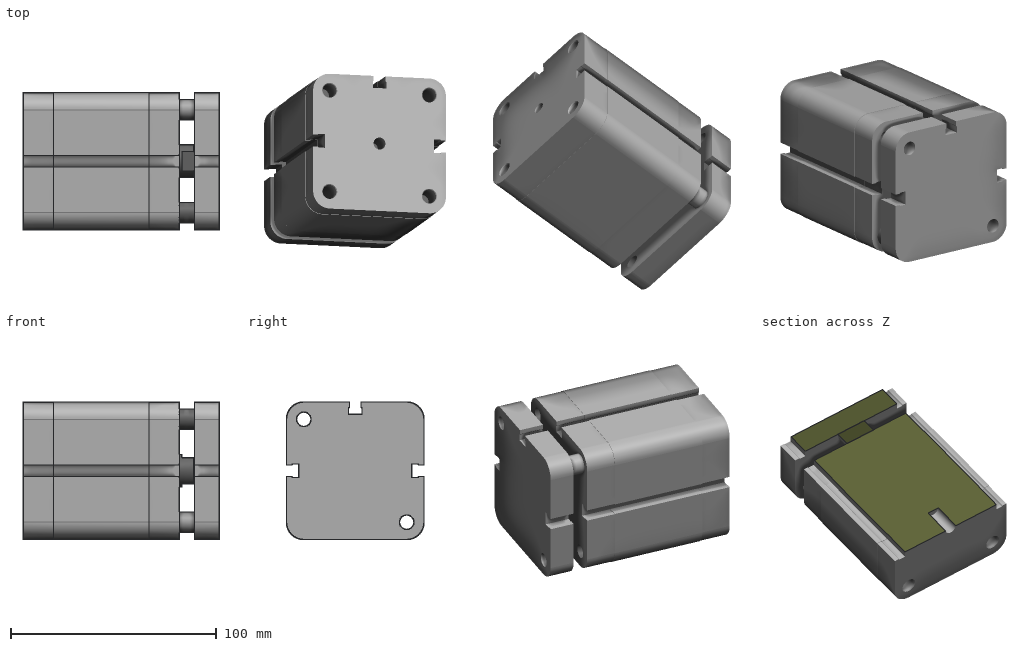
import cadquery as cq

total_length = 95.5
cap_length = 14.7
housing_length = 76.0
plate_start = 83.3
gap = plate_start - housing_length

barrel_width = 67.0
barrel_corner_radius = 8.5
cap_inset = 0.2

throat_width = 5.4
throat_depth = 2.6
groove_width = 6.4
groove_depth = 5.9
groove_angles = (0, 90, -90)

corner_offset = 25.0
corner_hole_diameter = 6.9
corner_hole_chamfer = 0.4
centre_hole_diameter = 5.9
blind_depth = cap_length

guide_rod_diameter = 10.0
piston_rod_diameter = 16.0
flat_spacing = 12.8
flat_start = 77.2
flat_fillet = 0.5
rod_end_chamfer = 0.3

guide_corners = [(corner_offset, corner_offset), (-corner_offset, -corner_offset)]
through_corners = [(-corner_offset, corner_offset), (corner_offset, -corner_offset)]


def cylinder(start, length, diameter, y=0, z=0):
    """Solid cylinder parallel to X, from x = start."""
    return cq.Workplane("YZ", origin=(start, y, z)).circle(diameter / 2).extrude(length)


def groove_cutter(start, length, inset):
    """Top-side groove: a throat that flares at 45 degrees into a wider channel, all enlarged by inset."""
    top = barrel_width / 2
    half_throat = throat_width / 2
    half_groove = groove_width / 2
    throat_end = top - throat_depth
    flare_end = throat_end - (half_groove - half_throat)
    floor = top - groove_depth
    right_side = [
        (half_throat, top),
        (half_throat, throat_end),
        (half_groove, flare_end),
        (half_groove, floor),
    ]
    left_side = [(-y, z) for y, z in reversed(right_side)]
    profile = cq.Workplane("YZ", origin=(start, 0, 0)).polyline(right_side + left_side).close()
    if inset > 0:
        profile = profile.offset2D(inset, "intersection")
    return profile.extrude(length)


def grooved_block(start, length, inset=0):
    """Square block with rounded corners and three grooves, every surface moved in by inset."""
    width = barrel_width - 2 * inset
    block = (
        cq.Workplane("YZ", origin=(start, 0, 0))
        .rect(width, width)
        .extrude(length)
        .edges("|X")
        .fillet(barrel_corner_radius - inset)
    )
    cutter = groove_cutter(start, length, inset)
    for angle in groove_angles:
        block = block.cut(cutter.rotate((0, 0, 0), (1, 0, 0), angle))
    return block


def corner_hole_cutter(depth, y, z):
    """Corner hole from the rear face of the housing, with a chamfered mouth."""
    hole_radius = corner_hole_diameter / 2
    mouth = cq.Solid.makeCone(
        hole_radius + corner_hole_chamfer,
        hole_radius,
        corner_hole_chamfer,
        pnt=cq.Vector(0, y, z),
        dir=cq.Vector(1, 0, 0),
    )
    return cylinder(0, depth, corner_hole_diameter, y, z).union(cq.Workplane(mouth))


def make_housing():
    """Cylinder housing: barrel between two slightly smaller caps."""
    barrel_length = housing_length - 2 * cap_length
    housing = (
        grooved_block(cap_length, barrel_length)
        .union(grooved_block(0, cap_length, cap_inset))
        .union(grooved_block(housing_length - cap_length, cap_length, cap_inset))
    )
    for y, z in through_corners:
        housing = housing.cut(corner_hole_cutter(housing_length, y, z))
    for y, z in guide_corners:
        housing = housing.cut(corner_hole_cutter(blind_depth, y, z))
    return housing.cut(cylinder(0, blind_depth, centre_hole_diameter))


def make_plate():
    """Front plate carried by the rods, with through holes in line with those of the housing."""
    plate_length = total_length - plate_start
    plate = grooved_block(plate_start, plate_length, cap_inset)
    for y, z in through_corners:
        plate = plate.cut(cylinder(plate_start, plate_length, corner_hole_diameter, y, z))
    return plate


def make_piston_rod():
    """Round rod with wrench flats facing up and down, each with a filleted shoulder."""
    rod = cylinder(housing_length, gap, piston_rod_diameter).faces(">X").chamfer(rod_end_chamfer)
    flat_cutter = (
        cq.Workplane("XZ", origin=(flat_start, piston_rod_diameter / 2, flat_spacing / 2))
        .rect(plate_start - flat_start, piston_rod_diameter, centered=False)
        .extrude(piston_rod_diameter)
        .edges("<X and <Z")
        .fillet(flat_fillet)
    )
    for angle in (0, 180):
        rod = rod.cut(flat_cutter.rotate((0, 0, 0), (1, 0, 0), angle))
    return rod


def make_guide_rod(y, z):
    """Plain round rod spanning the gap between housing and plate."""
    return cylinder(housing_length, gap, guide_rod_diameter, y, z)


housing = make_housing()
plate = make_plate()
piston_rod = make_piston_rod()
guide_rods = [make_guide_rod(y, z) for y, z in guide_corners]

result = cq.Compound.makeCompound(
    [
        housing.solids().val(),
        plate.solids().val(),
        piston_rod.solids().val(),
        *[rod.val() for rod in guide_rods],
    ]
)